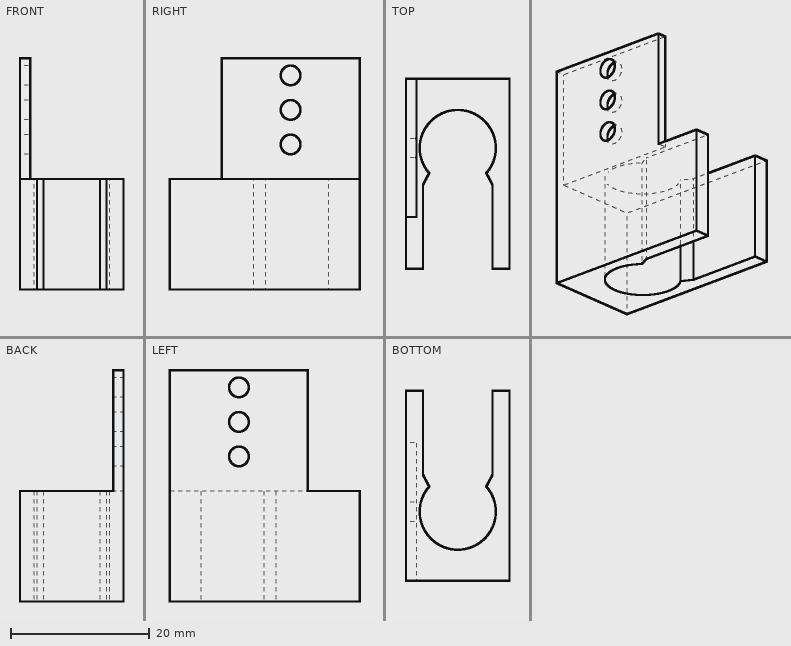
import cadquery as cq
import math

width = 15.0
depth = 27.5
total_height = 33.5
clip_height = 16.0

plate_thickness = 1.5
plate_depth = 20.0

bore_diameter = 11.0
bore_to_back = 10.0
slot_width = 10.0
neck_width = 8.25
flare_end_to_bore = 5.33

hole_diameter = 2.8
hole_count = 3
hole_pitch = 5.0
top_hole_to_edge = 2.5

back_y = bore_to_back
front_y = back_y - depth


def make_clip():
    """Block with a round bore, a narrow neck and a slot flaring out to the front."""
    block = cq.Workplane("XY").box(width, depth, clip_height, centered=(True, False, False))
    block = block.translate((0, front_y, 0))

    bore_radius = bore_diameter / 2
    half_neck = neck_width / 2
    half_slot = slot_width / 2
    neck_y = -math.sqrt(bore_radius**2 - half_neck**2)
    keyhole = (
        cq.Workplane("XY")
        .moveTo(-half_slot, front_y)
        .lineTo(-half_slot, -flare_end_to_bore)
        .lineTo(-half_neck, neck_y)
        .threePointArc((0, bore_radius), (half_neck, neck_y))
        .lineTo(half_slot, -flare_end_to_bore)
        .lineTo(half_slot, front_y)
        .close()
        .extrude(clip_height)
    )
    return block.cut(keyhole)


def make_plate():
    """Upright plate above the clip, with a vertical row of through holes."""
    left_x = -width / 2
    plate = cq.Workplane("XY").box(
        plate_thickness, plate_depth, total_height - clip_height, centered=False
    )
    plate = plate.translate((left_x, back_y - plate_depth, clip_height))

    hole_centres = [
        (0, total_height - top_hole_to_edge - i * hole_pitch) for i in range(hole_count)
    ]
    holes = (
        cq.Workplane("YZ", origin=(left_x, 0, 0))
        .pushPoints(hole_centres)
        .circle(hole_diameter / 2)
        .extrude(plate_thickness)
    )
    return plate.cut(holes)


result = make_clip().union(make_plate())